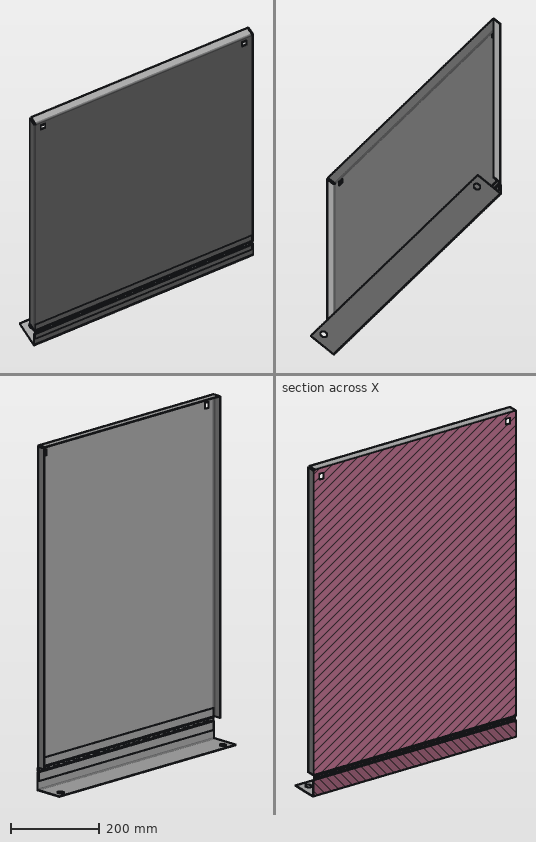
import cadquery as cq

DEPTH = 75.5
WIDTH = 561.0
HEIGHT = 820.0

SHEET = 2.0
BEND_RADIUS = 2.8
INNER_BEND_RADIUS = BEND_RADIUS - SHEET
BRACKET_TOP_Z = 42.0
PANEL_BOTTOM_Z = 54.0

LEAF_SHEET = 2.0
KNUCKLE_RADIUS = 3.7
PIN_RADIUS = KNUCKLE_RADIUS - LEAF_SHEET
LEAF_REACH = 26.0
UPPER_KNUCKLES = 17
LOWER_KNUCKLES = UPPER_KNUCKLES + 1
HINGE_LENGTH = 554.0
KNUCKLE_LENGTH = HINGE_LENGTH / (UPPER_KNUCKLES + LOWER_KNUCKLES)
AXIS_X = DEPTH - KNUCKLE_RADIUS
AXIS_Z = (BRACKET_TOP_Z + PANEL_BOTTOM_Z) / 2
LEAF_BACK_X = AXIS_X - KNUCKLE_RADIUS
LEAF_FRONT_X = LEAF_BACK_X + LEAF_SHEET

SHEET_FRONT_X = LEAF_FRONT_X + SHEET
FLANGE_DEPTH = 22.0
CORNER_RELIEF = 3.0

HOLE_INSET = 23.0
HOLE_Y = WIDTH / 2 - HOLE_INSET
PANEL_HOLE_WIDTH = 11.5
PANEL_HOLE_HEIGHT = 14.0
SLOT_LENGTH = 16.0
SLOT_WIDTH = 13.0
SLOT_X = 19.0


def box(x_min, x_max, width, z_min, z_max, y_center=0.0):
    """Box between X and Z limits, centred on y_center."""
    return (
        cq.Workplane("XY")
        .box(x_max - x_min, width, z_max - z_min, centered=(False, True, False))
        .translate((x_min, y_center, z_min))
    )


def cylinder_y(radius, length, y_center=0.0):
    """Cylinder along the hinge axis, centred on y_center."""
    return (
        cq.Workplane("XZ", origin=(AXIS_X, y_center, AXIS_Z))
        .circle(radius)
        .extrude(length / 2, both=True)
    )


def make_panel():
    """Upright sheet with flanges bent back along its top and both sides."""
    flange_back_x = SHEET_FRONT_X - FLANGE_DEPTH
    outer = box(flange_back_x, SHEET_FRONT_X, WIDTH, PANEL_BOTTOM_Z, HEIGHT)
    outer = outer.faces(">X").edges("not <Z").fillet(BEND_RADIUS)
    inner = box(flange_back_x, LEAF_FRONT_X, WIDTH - 2 * SHEET, PANEL_BOTTOM_Z, HEIGHT - SHEET)
    inner = inner.faces(">X").edges("not <Z").fillet(INNER_BEND_RADIUS)
    panel = outer.cut(inner)

    for side in (-1, 1):
        relief_y = side * (WIDTH - CORNER_RELIEF) / 2
        relief_z = HEIGHT - CORNER_RELIEF
        relief = box(flange_back_x, SHEET_FRONT_X, CORNER_RELIEF, relief_z, HEIGHT, relief_y)
        hole_bottom_z = HEIGHT - HOLE_INSET - PANEL_HOLE_HEIGHT / 2
        hole = box(
            LEAF_FRONT_X,
            SHEET_FRONT_X,
            PANEL_HOLE_WIDTH,
            hole_bottom_z,
            hole_bottom_z + PANEL_HOLE_HEIGHT,
            side * HOLE_Y,
        )
        panel = panel.cut(relief).cut(hole)
    return panel


def make_bracket():
    """Angle with a horizontal base, a short upright leg and two slots in the base."""
    outer = box(0, SHEET_FRONT_X, WIDTH, 0, BRACKET_TOP_Z)
    outer = outer.edges(">X and <Z").fillet(BEND_RADIUS)
    inner = box(0, LEAF_FRONT_X, WIDTH, SHEET, BRACKET_TOP_Z)
    inner = inner.edges(">X and <Z").fillet(INNER_BEND_RADIUS)
    slots = (
        cq.Workplane("XY")
        .pushPoints([(SLOT_X, -HOLE_Y), (SLOT_X, HOLE_Y)])
        .slot2D(SLOT_LENGTH, SLOT_WIDTH)
        .extrude(SHEET)
    )
    return outer.cut(inner).cut(slots)


def knuckle_centers(count):
    """Y positions of every second knuckle along the hinge, centred on the part."""
    pitch = 2 * KNUCKLE_LENGTH
    return [(i - (count - 1) / 2) * pitch for i in range(count)]


def make_leaf(direction, knuckles, opposite_knuckles):
    """Hinge leaf reaching up (direction 1) or down (-1) from the pin axis."""
    edge_z = AXIS_Z + direction * LEAF_REACH
    leaf = box(LEAF_BACK_X, LEAF_FRONT_X, HINGE_LENGTH, min(AXIS_Z, edge_z), max(AXIS_Z, edge_z))
    for y in knuckle_centers(opposite_knuckles):
        notch = box(
            LEAF_BACK_X,
            LEAF_FRONT_X,
            KNUCKLE_LENGTH,
            AXIS_Z - KNUCKLE_RADIUS,
            AXIS_Z + KNUCKLE_RADIUS,
            y,
        )
        leaf = leaf.cut(notch)
    for y in knuckle_centers(knuckles):
        leaf = leaf.union(cylinder_y(KNUCKLE_RADIUS, KNUCKLE_LENGTH, y))
    return leaf.cut(cylinder_y(PIN_RADIUS, HINGE_LENGTH))


def make_pin():
    """Plain pin filling the knuckle bores."""
    return cylinder_y(PIN_RADIUS, HINGE_LENGTH)


panel = make_panel()
bracket = make_bracket()
upper_leaf = make_leaf(1, UPPER_KNUCKLES, LOWER_KNUCKLES)
lower_leaf = make_leaf(-1, LOWER_KNUCKLES, UPPER_KNUCKLES)
pin = make_pin()

result = cq.Compound.makeCompound(
    [panel.val(), bracket.val(), upper_leaf.val(), lower_leaf.val(), pin.val()]
)